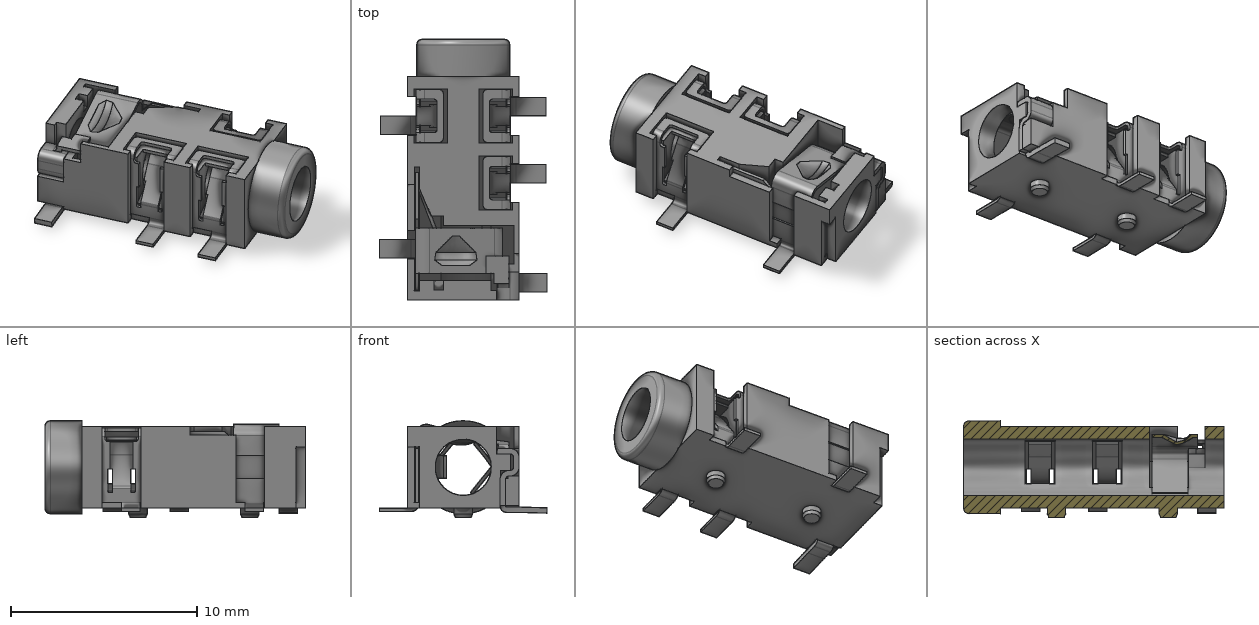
import cadquery as cq
import math


BODY_HALF_WIDTH = 3.0
BODY_HALF_HEIGHT = 2.2
BODY_LENGTH = 12.0
BARREL_RADIUS = 2.5
BARREL_LENGTH = 2.0
BARREL_EDGE_RADIUS = 0.3
BORE_RADIUS = 1.5
POST_RADIUS = 0.5
POST_HEIGHT = 0.5
POST_TIP_RADIUS = 0.42
POST_TIP_HEIGHT = 0.18
POST_YS = (3.0, 9.0)

SHEET = 0.18
SWITCH_SHEET = 0.3
TERMINAL_WIDTH = 1.0
TERMINAL_REACH = 4.5
SIDE_TERMINAL_REACH = 4.45
TERMINAL_Z = -BODY_HALF_HEIGHT - SHEET / 2
PLATE_BOTTOM = -1.88

POCKET_LENGTH = 2.92
POCKET_INNER_X = 0.84
POCKET_OUTER_X = 2.64
POCKET_FLOOR = 1.63
SIDE_OPENING_LENGTH = 2.08
SIDE_PLATE_X = 2.44
SIDE_PLATE_LENGTH = 2.84
REAR_POCKET_Y = 9.88
POCKET_PITCH = 3.6

TIP_PLATE_X = -2.48
TIP_SLOT_OUTER_X = -2.62
TIP_SLOT_INNER_X = -2.35
TIP_SLOT_START = 0.5
TIP_SLOT_END = 7.15
BRIDGE_START = 1.43
BRIDGE_END = 3.86
TIP_TERMINAL_START = 2.25

CHAMBER_START = 1.04
CHAMBER_END = 4.0
CHAMBER_STEP = 1.92
CHAMBER_OUTER_X = 2.72
SWITCH_LENGTH = 1.5
FOOT_TOP = -2.05


def block(x_range, y_range, z_range):
    """Box between the given limits."""
    size = [high - low for low, high in (x_range, y_range, z_range)]
    corner = (x_range[0], y_range[0], z_range[0])
    return cq.Workplane("XY").box(*size, centered=False).translate(corner)


def prism_along_y(section, y_range):
    """Extrude an (x, z) polygon along Y."""
    plane = cq.Workplane("XZ", origin=(0, y_range[0], 0))
    return plane.polyline(section).close().extrude(y_range[0] - y_range[1])


def bent_sheet(plane, path, thickness, radius, length):
    """Sheet of constant thickness that follows a path with rounded bends, extruded on the plane."""
    half = thickness / 2
    headings = [math.atan2(b[1] - a[1], b[0] - a[0]) for a, b in zip(path, path[1:])]

    def shifted(point, heading, side):
        return (point[0] - side * half * math.sin(heading), point[1] + side * half * math.cos(heading))

    def edge(side):
        """Start point, then (arc start, arc middle, arc end) of each bend, then end point."""
        bends = []
        for corner, before, after in zip(path[1:], headings, headings[1:]):
            turn = math.remainder(after - before, 2 * math.pi)
            turn_sign = math.copysign(1, turn)
            setback = radius * math.tan(abs(turn) / 2)
            start = (corner[0] - setback * math.cos(before), corner[1] - setback * math.sin(before))
            center = (
                start[0] - turn_sign * radius * math.sin(before),
                start[1] + turn_sign * radius * math.cos(before),
            )
            edge_radius = radius - side * turn_sign * half
            bends.append([
                (
                    center[0] + turn_sign * edge_radius * math.sin(heading),
                    center[1] - turn_sign * edge_radius * math.cos(heading),
                )
                for heading in (before, before + turn / 2, after)
            ])
        return shifted(path[0], headings[0], side), bends, shifted(path[-1], headings[-1], side)

    left_start, left_bends, left_end = edge(1)
    right_start, right_bends, right_end = edge(-1)
    outline = plane.moveTo(*left_start)
    for arc_start, arc_middle, arc_end in left_bends:
        outline = outline.lineTo(*arc_start).threePointArc(arc_middle, arc_end)
    outline = outline.lineTo(*left_end).lineTo(*right_end)
    for arc_start, arc_middle, arc_end in reversed(right_bends):
        outline = outline.lineTo(*arc_end).threePointArc(arc_middle, arc_start)
    return outline.lineTo(*right_start).close().extrude(length)


def sheet_along_y(path, thickness, radius, y_range):
    """Sheet bent in the XZ plane, spanning the given Y range."""
    plane = cq.Workplane("XZ", origin=(0, y_range[1], 0))
    return bent_sheet(plane, path, thickness, radius, y_range[1] - y_range[0])


def centered_range(center, length):
    return (center - length / 2, center + length / 2)


def make_side_contact():
    """Right-hand contact centred on Y = 0, its terminal toward +Y."""
    top_z = 2.01
    top_inner_x = 1.07
    bend_radius = 0.37
    corner_radius = 0.22
    terminal_bend_radius = 0.4
    slot_bottom = -1.36
    plate = sheet_along_y(
        [(top_inner_x, top_z), (SIDE_PLATE_X, top_z), (SIDE_PLATE_X, PLATE_BOTTOM)],
        SHEET, bend_radius, centered_range(0, SIDE_PLATE_LENGTH),
    )
    plate = plate.edges("|Z and <X").fillet(corner_radius)
    terminal = sheet_along_y(
        [(SIDE_PLATE_X, slot_bottom), (SIDE_PLATE_X, TERMINAL_Z), (SIDE_TERMINAL_REACH, TERMINAL_Z)],
        SHEET, terminal_bend_radius, (0, TERMINAL_WIDTH),
    )

    window_inner_x = 1.42
    window_x = (window_inner_x, BODY_HALF_WIDTH)
    shoulder_z = 1.4
    slot_top = -0.1
    tongue_width = 1.22
    tongue_root_width = 1.0
    slots_width = 1.48
    slot_end_radius = 0.1
    head_width = 1.8
    head_corner_radius = 0.15
    head = block(window_x, centered_range(0, head_width), (shoulder_z, BODY_HALF_HEIGHT))
    head = head.edges("|Z and <X").fillet(head_corner_radius)
    head = head.edges("|X and <Z").fillet(head_corner_radius)
    middle = block(window_x, centered_range(0, tongue_width), (slot_top, shoulder_z))
    slots = block(window_x, centered_range(0, slots_width), (slot_bottom, slot_top))
    slots = slots.edges("|X and <Z").fillet(slot_end_radius)
    plate = plate.cut(head).cut(middle).cut(slots)

    root_z = -1.1
    tongue_bend_radius = 0.15
    tongue_path = [
        (SIDE_PLATE_X, PLATE_BOTTOM), (SIDE_PLATE_X, root_z),
        (1.18, 0.62), (0.62, 1.3),
    ]
    tongue = sheet_along_y(tongue_path, SHEET, tongue_bend_radius, centered_range(0, tongue_width))
    for side in (-1, 1):
        relief = centered_range(side * (tongue_root_width + tongue_width) / 4,
                                (tongue_width - tongue_root_width) / 2)
        tongue = tongue.cut(block((0, BODY_HALF_WIDTH), relief, (slot_bottom, slot_top)))
    return plate.union(terminal).union(tongue)


def place_side(part, side, y):
    """Move a right-hand part to its pocket; the left side is the right side turned half round."""
    turn = 0 if side > 0 else 180
    return part.rotate((0, 0, 0), (0, 0, 1), turn).translate((0, y, 0))


def make_tip_contact():
    """Upright plate on the left, bridge over the bore, folded spring, leaf spring and terminal."""
    plate_x = centered_range(TIP_PLATE_X, SHEET)
    front_plate_top = 1.0
    rear_plate_top = 1.93
    front_gap = 0.03
    rear_gap = 0.3
    rear_plate_chamfer = 0.5
    terminal_bend_radius = 0.31
    leaf_bend_radius = 0.3
    front_plate = block(plate_x, (TIP_SLOT_START + front_gap, BRIDGE_END), (PLATE_BOTTOM, front_plate_top))
    rear_plate = block(plate_x, (BRIDGE_END, TIP_SLOT_END - rear_gap), (PLATE_BOTTOM, rear_plate_top))
    rear_plate = rear_plate.edges("|X and <Y and >Z").chamfer(rear_plate_chamfer)

    bridge_left = (TIP_PLATE_X, 2.39)
    bridge_right = (2.38, 0.98)
    spring_tip = (0.46, -1.4)
    bridge_path = [(TIP_PLATE_X, PLATE_BOTTOM), bridge_left, bridge_right, spring_tip]
    bridge_bend_radius = 0.51
    spring_top = 0.9
    spring_start = CHAMBER_STEP + 0.03
    bridge = sheet_along_y(bridge_path, SHEET, bridge_bend_radius, (BRIDGE_START, BRIDGE_END))
    bridge = bridge.cut(block((0, BODY_HALF_WIDTH), (BRIDGE_START, spring_start), (-BORE_RADIUS, spring_top)))

    dimple_x = -0.42
    slope = (bridge_right[1] - bridge_left[1]) / (bridge_right[0] - bridge_left[0])
    bridge_tilt = math.degrees(math.atan(slope))
    dimple_z = bridge_left[1] + slope * (dimple_x - bridge_left[0])

    def dimple_form(skin):
        """Form below the top of the bridge; the skin widens it all round."""
        sections = [
            (1.86 - skin, 0.78, 0.04), (2.15, 1.18, 0.35), (2.55, 1.12, 0.48), (3.43 + skin, 0.2, 0.04),
        ]
        form = cq.Workplane("XY")
        for start, end in zip(sections, sections[1:]):
            start_y = start[0]
            wires = cq.Workplane("XZ", origin=(0, start_y, 0))
            for y, half_width, depth in (start, end):
                wires = wires.workplane(offset=start_y - y)
                wires = wires.moveTo(-half_width - skin, SHEET / 2).threePointArc(
                    (0, SHEET / 2 - depth - skin), (half_width + skin, SHEET / 2)).close()
            form = form.union(wires.loft(ruled=True))
        return form.rotate((0, 0, 0), (0, 1, 0), -bridge_tilt).translate((dimple_x, 0, dimple_z))

    bridge = bridge.union(dimple_form(SHEET)).cut(dimple_form(0))

    leaf_recess_depth = 0.1
    leaf_z = (-0.6, 0.62)
    leaf_recess = block((plate_x[0], plate_x[0] + leaf_recess_depth), (1.0, 6.0), leaf_z)
    leaf_plane = cq.Workplane("XY", origin=(0, 0, leaf_z[0]))
    leaf_path = [(TIP_PLATE_X, 6.6), (TIP_PLATE_X, 6.3), (-0.97, 2.4)]
    leaf = bent_sheet(leaf_plane, leaf_path, SHEET, leaf_bend_radius, leaf_z[1] - leaf_z[0])

    terminal = sheet_along_y(
        [(TIP_PLATE_X, -1), (TIP_PLATE_X, TERMINAL_Z), (-TERMINAL_REACH, TERMINAL_Z)],
        SHEET, terminal_bend_radius, (TIP_TERMINAL_START, TIP_TERMINAL_START + TERMINAL_WIDTH),
    )
    contact = front_plate.union(rear_plate).union(bridge).cut(leaf_recess)
    return contact.union(leaf).union(terminal)


def make_switch_contact():
    """S-bent clip at the front right, with a riser and a tab that reaches over the bridge."""
    arm_z = 0.86
    arm_inner_x = 1.82
    loop_x = BODY_HALF_WIDTH - SWITCH_SHEET / 2
    return_z = -0.32
    leg_x = 2.13
    foot_z = -2.28
    foot_droop = 0.04
    terminal_start = 0.43
    clip_bend_radius = 0.33
    foot_bend_radius = 0.2
    riser_bend_radius = 0.36
    clip_path = [
        (arm_inner_x, arm_z), (loop_x, arm_z), (loop_x, return_z), (leg_x, return_z), (leg_x, FOOT_TOP),
    ]
    clip = sheet_along_y(clip_path, SWITCH_SHEET, clip_bend_radius, (0, SWITCH_LENGTH))
    foot_path = [
        (leg_x, -1), (leg_x, foot_z), (BODY_HALF_WIDTH, foot_z), (TERMINAL_REACH, foot_z - foot_droop),
    ]
    foot_y = (terminal_start, terminal_start + TERMINAL_WIDTH)
    foot = sheet_along_y(foot_path, SWITCH_SHEET, foot_bend_radius, foot_y)

    riser_inner_x = 1.88
    tab_inner_x = 1.235
    neck_inner_x = 1.65
    tab_outer_x = 2.45
    tab_start = 0.88
    tab_end = 2.35
    tab_high = 1.53
    tab_low = 1.36
    tab_thickness = 0.2
    riser_y = tab_start + SWITCH_SHEET / 2
    riser_plane = cq.Workplane("YZ", origin=(riser_inner_x, 0, 0))
    riser = bent_sheet(
        riser_plane, [(0.3, arm_z), (riser_y, arm_z), (riser_y, tab_low - tab_thickness / 2)],
        SWITCH_SHEET, riser_bend_radius, tab_outer_x - riser_inner_x,
    )
    tab = prism_along_y(
        [(tab_inner_x, tab_high), (tab_outer_x, tab_low), (tab_outer_x, tab_low - tab_thickness),
         (tab_inner_x, tab_high - tab_thickness)],
        (tab_start, tab_end),
    )
    tab = tab.cut(block((tab_inner_x, neck_inner_x), (tab_start, BRIDGE_START), (0, BODY_HALF_HEIGHT)))
    return clip.union(foot).union(riser).union(tab)


def make_shell():
    """Body block with the barrel and the locating posts."""
    body = block(
        (-BODY_HALF_WIDTH, BODY_HALF_WIDTH), (0, BODY_LENGTH), (-BODY_HALF_HEIGHT, BODY_HALF_HEIGHT))
    barrel = cq.Workplane("XZ", origin=(0, BODY_LENGTH, 0)).circle(BARREL_RADIUS).extrude(-BARREL_LENGTH)
    barrel = barrel.faces(">Y").edges().fillet(BARREL_EDGE_RADIUS)
    shell = body.union(barrel)
    post_end = -BODY_HALF_HEIGHT - POST_HEIGHT
    post_profile = [
        (0, -BODY_HALF_HEIGHT), (POST_RADIUS, -BODY_HALF_HEIGHT),
        (POST_RADIUS, post_end + POST_TIP_HEIGHT), (POST_TIP_RADIUS, post_end), (0, post_end),
    ]
    for y in POST_YS:
        profile = cq.Workplane("XZ", origin=(0, y, 0)).polyline(post_profile).close()
        shell = shell.union(profile.revolve(360, (0, 0, 0), (0, 1, 0)))
    total_length = BODY_LENGTH + BARREL_LENGTH
    bore = cq.Workplane("XZ").circle(BORE_RADIUS).extrude(-total_length)
    return shell.cut(bore)


def make_side_pocket():
    """Space for a right-hand side contact centred on Y = 0."""
    pocket_y = centered_range(0, POCKET_LENGTH)
    recess = block((POCKET_INNER_X, POCKET_OUTER_X), pocket_y, (POCKET_FLOOR, BODY_HALF_HEIGHT))
    slot_inner_x = 2.3
    plate_slot = block((slot_inner_x, POCKET_OUTER_X), pocket_y, (PLATE_BOTTOM, BODY_HALF_HEIGHT))
    opening = block(
        (SIDE_PLATE_X + SHEET / 2, BODY_HALF_WIDTH), centered_range(0, SIDE_OPENING_LENGTH),
        (-BODY_HALF_HEIGHT, BODY_HALF_HEIGHT))
    tongue_space_width = 1.6
    tongue_section = [
        (2.5, -1.36), (1.2, -0.88), (0.5, 1.0), (0.5, 1.45), (1.42, 1.45), (1.42, 1.8), (2.5, 1.8),
    ]
    tongue_space = prism_along_y(tongue_section, centered_range(0, tongue_space_width))
    return recess.union(plate_slot).union(opening).union(tongue_space)


def cut_tip_openings(housing):
    """Slot, leaf spring wedge, chamber and side window for the tip contact."""
    bottom_to_top = (PLATE_BOTTOM, BODY_HALF_HEIGHT)
    slot = block((TIP_SLOT_OUTER_X, TIP_SLOT_INNER_X), (TIP_SLOT_START, TIP_SLOT_END), bottom_to_top)
    wedge_floor = -0.9
    wedge_inner_x = -1.05
    wedge_outer_x = TIP_SLOT_INNER_X - 0.05
    wedge_end = 4.5
    wedge_point = 6.1
    wedge = (
        cq.Workplane("XY", origin=(0, 0, wedge_floor))
        .polyline([
            (wedge_outer_x, wedge_point), (-1.72, wedge_end), (wedge_inner_x, wedge_end),
            (wedge_inner_x, CHAMBER_START), (wedge_outer_x, CHAMBER_START),
        ])
        .close()
        .extrude(BODY_HALF_HEIGHT - wedge_floor)
    )
    chamber_section = [
        (wedge_inner_x, 0), (wedge_inner_x, BODY_HALF_HEIGHT), (CHAMBER_OUTER_X, BODY_HALF_HEIGHT),
        (CHAMBER_OUTER_X, 0.3), (1.5, -1.1), (1.0, -1.1), (0, -0.75),
    ]
    rear_chamber = prism_along_y(chamber_section, (CHAMBER_STEP, CHAMBER_END))
    front_chamber = block((wedge_inner_x, BORE_RADIUS), (CHAMBER_START, CHAMBER_END), (0, BODY_HALF_HEIGHT))
    key_outer_x = -1.58
    key_start = 0.55
    key_floor = 1.5
    key_slot = block((key_outer_x, wedge_inner_x), (key_start, BRIDGE_START), (key_floor, BODY_HALF_HEIGHT))

    left_of_plate = (-BODY_HALF_WIDTH, TIP_PLATE_X)
    window_y = (2.22, 3.73)
    window = block(left_of_plate, window_y, bottom_to_top)
    foot_y = (window_y[0], TIP_TERMINAL_START + TERMINAL_WIDTH)
    foot_gap = block(left_of_plate, foot_y, (-BODY_HALF_HEIGHT, PLATE_BOTTOM))

    outside_slot = (-BODY_HALF_WIDTH, TIP_SLOT_INNER_X)
    low_wall_end = 6.2
    low_wall_top = 1.72
    low_wall = block(outside_slot, (window_y[1], low_wall_end), (low_wall_top, BODY_HALF_HEIGHT))
    notch_depth = 0.52
    notch_top = 1.1
    corner_notch = block(outside_slot, (0, notch_depth), (-BODY_HALF_HEIGHT, notch_top))
    for space in (slot, wedge, rear_chamber, front_chamber, key_slot,
                  window, foot_gap, low_wall, corner_notch):
        housing = housing.cut(space)
    return housing


def cut_switch_openings(housing):
    """Front right corner around the switch contact."""
    corner_x = 1.8
    clip_y = (0, SWITCH_LENGTH)
    arm_floor = 0.72
    wall_y = 2.5
    sill_z = 1.0
    above_arm = block((corner_x, BODY_HALF_WIDTH), clip_y, (arm_floor, BODY_HALF_HEIGHT))
    behind_arm = block((corner_x, BODY_HALF_WIDTH), (SWITCH_LENGTH, wall_y), (sill_z, BODY_HALF_HEIGHT))
    tab_gap_start = 0.5
    tab_gap = block(
        (BORE_RADIUS, corner_x), (tab_gap_start, CHAMBER_STEP), (arm_floor, BODY_HALF_HEIGHT))
    finger_x = 2.55
    loop_bottom = -0.47
    beside_loop = block((finger_x, BODY_HALF_WIDTH), clip_y, (loop_bottom, arm_floor))
    leg_x = 2.0
    below_foot = block((leg_x, BODY_HALF_WIDTH), clip_y, (-BODY_HALF_HEIGHT, FOOT_TOP))
    leg_corner = block((leg_x, 2.4), clip_y, (-0.6, -0.17))
    for space in (above_arm, behind_arm, tab_gap, beside_loop, below_foot, leg_corner):
        housing = housing.cut(space)
    return housing


side_contact = make_side_contact()
side_pocket = make_side_pocket()
side_places = [(-1, REAR_POCKET_Y), (1, REAR_POCKET_Y), (1, REAR_POCKET_Y - POCKET_PITCH)]
side_contacts = [place_side(side_contact, side, y) for side, y in side_places]
tip_contact = make_tip_contact()
switch_contact = make_switch_contact()

tip_contact = tip_contact.cut(switch_contact)

housing = make_shell()
for side, y in side_places:
    housing = housing.cut(place_side(side_pocket, side, y))
housing = cut_tip_openings(housing)
housing = cut_switch_openings(housing)

for contact in (*side_contacts, tip_contact, switch_contact):
    housing = housing.cut(contact)

bodies = [housing, *side_contacts, tip_contact, switch_contact]
result = cq.Compound.makeCompound([body.solids().val() for body in bodies])